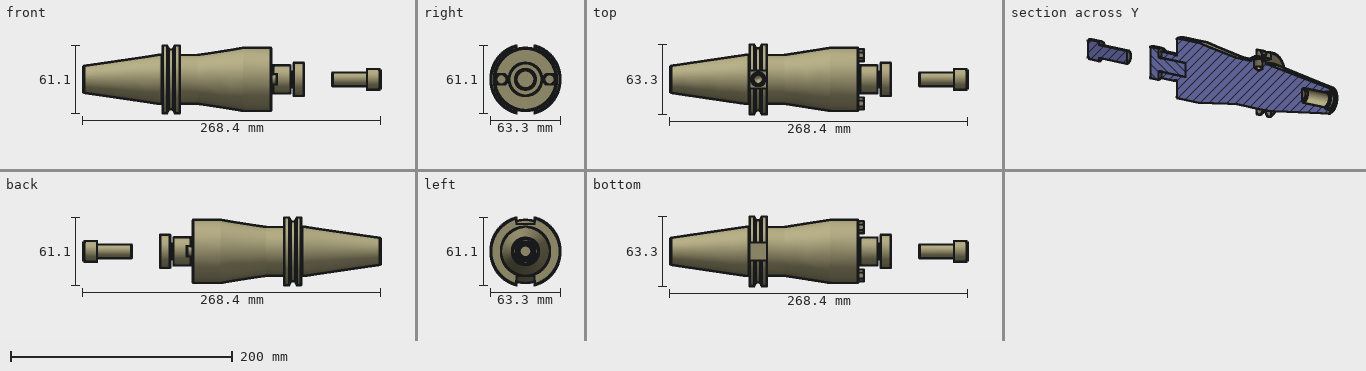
import cadquery as cq

small_end_diameter = 24.7
small_end_chamfer = 1.0
gauge_diameter = 44.5
gauge_x = 68.5

relief_width = 0.8
relief_depth = 0.5

flange_x = 71.5
flange_width = 16.0
flange_end_x = flange_x + flange_width
flange_diameter = 63.3
flange_chamfer = 0.8
groove_mid_x = 79.2
groove_floor_diameter = 56.4
groove_floor_width = 3.5
groove_mouth_width = 7.5

slot_width = 16.5
upper_slot_floor = 24.7
lower_slot_floor = 22.3

side_hole_diameter = 8.5
side_hole_countersink_diameter = 12.3
side_hole_countersink_depth = 0.8
side_hole_depth = 8.0
side_hole_tip_depth = 2.5

neck_diameter = 44.3
neck_end_x = 103.3
body_diameter = 57.2
body_x = 144.5
body_end_x = 169.9
body_chamfer = 1.0

pilot_relief_diameter = 24.0
pilot_relief_length = 2.0
pilot_diameter = 25.5
pilot_end_x = 187.0
pilot_chamfer_length = 1.0
pilot_chamfer_depth = 0.3

bore_mouth_diameter = 18.2
bore_mouth_length = 1.5
bore_diameter = 16.5
bore_length = 4.8
thread_diameter = 13.7
thread_end_x = 29.5
bore_floor_diameter = 10.7

key_diameter = 11.0
key_width = 9.7
key_height = 5.0
key_chamfer = 0.8
key_offset = 21.7

retainer_shank_diameter = 12.5
retainer_shank_length = 26.8
retainer_collar_diameter = 14.5
retainer_collar_length = 1.0
retainer_head_diameter = 30.0
retainer_head_x = 189.7
retainer_end_x = 199.0
retainer_chamfer = 0.5

cap_screw_x = 224.3
cap_shank_diameter = 12.5
cap_shank_chamfer = 0.8
cap_head_x = 255.7
cap_head_diameter = 18.8
cap_rim_diameter = 16.0
cap_rim_length = 1.3
cap_end_x = 268.4


def turned(stations):
    """Solid of revolution about X through (x, diameter) stations."""
    outline = [(x, diameter / 2) for x, diameter in stations]
    first_x = stations[0][0]
    last_x = stations[-1][0]
    points = [(first_x, 0), *outline, (last_x, 0)]
    return cq.Workplane("XY").polyline(points).close().revolve(360, (0, 0, 0), (1, 0, 0))


def drive_slot(floor_z, direction):
    """Block removed from the flange, open outward from floor_z along +Z or -Z."""
    height = flange_diameter / 2
    return cq.Workplane("XY").box(flange_width, slot_width, height).translate(
        (flange_x + flange_width / 2, 0, direction * (floor_z + height / 2))
    )


def side_hole():
    """Countersunk hole going down from the upper slot floor, ending in a cone."""
    hole_radius = side_hole_diameter / 2
    mouth_radius = side_hole_countersink_diameter / 2
    countersink_z = upper_slot_floor - side_hole_countersink_depth
    bottom_z = upper_slot_floor - side_hole_depth
    return (
        cq.Workplane("XZ")
        .moveTo(0, upper_slot_floor)
        .lineTo(mouth_radius, upper_slot_floor)
        .lineTo(hole_radius, countersink_z)
        .lineTo(hole_radius, bottom_z)
        .lineTo(0, bottom_z - side_hole_tip_depth)
        .close()
        .revolve(360, (0, 0, 0), (0, 1, 0))
        .translate((flange_x + flange_width / 2, 0, 0))
    )


def rear_bore():
    """Stepped blind bore in the small end, with a conical run-in at each step."""
    thread_x = bore_length + (bore_diameter - thread_diameter) / 2
    floor_x = thread_end_x + (thread_diameter - bore_floor_diameter) / 2
    return turned(
        [
            (0, bore_mouth_diameter),
            (bore_mouth_length, bore_diameter),
            (bore_length, bore_diameter),
            (thread_x, thread_diameter),
            (thread_end_x, thread_diameter),
            (floor_x, bore_floor_diameter),
        ]
    )


def make_holder():
    relief_x = flange_x - relief_width
    relief_diameter = gauge_diameter - 2 * relief_depth
    flange_edge_diameter = flange_diameter - 2 * flange_chamfer
    pilot_x = body_end_x + pilot_relief_length
    blank = turned(
        [
            (0, small_end_diameter - 2 * small_end_chamfer),
            (small_end_chamfer, small_end_diameter),
            (gauge_x, gauge_diameter),
            (relief_x, gauge_diameter),
            (relief_x, relief_diameter),
            (flange_x, relief_diameter),
            (flange_x, flange_edge_diameter),
            (flange_x + flange_chamfer, flange_diameter),
            (groove_mid_x - groove_mouth_width / 2, flange_diameter),
            (groove_mid_x - groove_floor_width / 2, groove_floor_diameter),
            (groove_mid_x + groove_floor_width / 2, groove_floor_diameter),
            (groove_mid_x + groove_mouth_width / 2, flange_diameter),
            (flange_end_x - flange_chamfer, flange_diameter),
            (flange_end_x, flange_edge_diameter),
            (flange_end_x, neck_diameter),
            (neck_end_x, neck_diameter),
            (body_x, body_diameter),
            (body_end_x - body_chamfer, body_diameter),
            (body_end_x, body_diameter - 2 * body_chamfer),
            (body_end_x, pilot_relief_diameter),
            (pilot_x, pilot_relief_diameter),
            (pilot_x, pilot_diameter),
            (pilot_end_x - pilot_chamfer_length, pilot_diameter),
            (pilot_end_x, pilot_diameter - 2 * pilot_chamfer_depth),
        ]
    )
    shank_hole = turned(
        [
            (pilot_end_x - retainer_shank_length, retainer_shank_diameter),
            (pilot_end_x, retainer_shank_diameter),
        ]
    )
    return (
        blank.cut(drive_slot(upper_slot_floor, 1))
        .cut(drive_slot(lower_slot_floor, -1))
        .cut(side_hole())
        .cut(rear_bore())
        .cut(shank_hole)
    )


def make_drive_key(side):
    """Round key with two flats, standing on the front face of the body."""
    key_end_x = body_end_x + key_height
    round_key = turned(
        [
            (body_end_x, key_diameter),
            (key_end_x - key_chamfer, key_diameter),
            (key_end_x, key_diameter - 2 * key_chamfer),
        ]
    )
    flats = cq.Workplane("XY").box(2 * key_end_x, key_diameter, key_width)
    return round_key.intersect(flats).translate((0, side * key_offset, 0))


def make_retaining_screw():
    edge_diameter = retainer_head_diameter - 2 * retainer_chamfer
    collar_x = retainer_head_x - retainer_collar_length
    return turned(
        [
            (pilot_end_x - retainer_shank_length, retainer_shank_diameter),
            (collar_x, retainer_shank_diameter),
            (collar_x, retainer_collar_diameter),
            (retainer_head_x, retainer_collar_diameter),
            (retainer_head_x, edge_diameter),
            (retainer_head_x + retainer_chamfer, retainer_head_diameter),
            (retainer_end_x - retainer_chamfer, retainer_head_diameter),
            (retainer_end_x, edge_diameter),
        ]
    )


def make_cap_screw():
    rim_x = cap_end_x - cap_rim_length
    return turned(
        [
            (cap_screw_x, cap_shank_diameter - 2 * cap_shank_chamfer),
            (cap_screw_x + cap_shank_chamfer, cap_shank_diameter),
            (cap_head_x, cap_shank_diameter),
            (cap_head_x, cap_head_diameter),
            (rim_x, cap_head_diameter),
            (rim_x, cap_rim_diameter),
            (cap_end_x, cap_rim_diameter),
        ]
    )


holder = make_holder()
drive_keys = [make_drive_key(side) for side in (-1, 1)]
retaining_screw = make_retaining_screw()
cap_screw = make_cap_screw()

result = cq.Compound.makeCompound(
    [
        holder.val(),
        *[key.val() for key in drive_keys],
        retaining_screw.val(),
        cap_screw.val(),
    ]
)